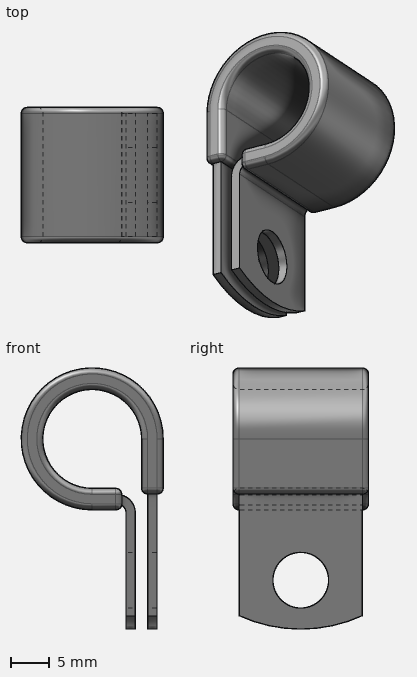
import cadquery as cq
import math


strap_thickness = 1.2192
strap_width = 15.875
tab_gap = 1.5875
bend_radius = 2.38125
tab_bottom = -24.51
tab_end_radius = 19.05

hole_diameter = 7.144
hole_height = -18.2

bore_radius = 6.35
cushion_wall = 0.79375
lower_leg_length = 3.81
upper_leg_length = 7.11

strap_inner_radius = bore_radius + cushion_wall
strap_outer_radius = strap_inner_radius + strap_thickness
cushion_outer_radius = strap_outer_radius + cushion_wall
cushion_width = strap_width + 2 * cushion_wall
inner_tab_right = strap_inner_radius - tab_gap
inner_tab_left = inner_tab_right - strap_thickness
bend_center = (inner_tab_right - bend_radius, -strap_inner_radius - bend_radius)
inside_bend_radius = bend_radius - strap_thickness
tab_corner = tab_bottom + tab_end_radius - math.sqrt(tab_end_radius**2 - (strap_width / 2) ** 2)


def on_circle(radius, angle, center=(0, 0)):
    """Point in the XZ plane at an angle in degrees, measured from +X towards +Z."""
    turn = math.radians(angle)
    return (center[0] + radius * math.cos(turn), center[1] + radius * math.sin(turn))


def extrude_about_y(profile, width):
    """Extrude an XZ profile symmetrically about Y = 0."""
    return profile.extrude(width / 2, both=True)


def make_cushion():
    """Three-quarter ring with two straight legs, every edge rounded."""
    profile = (
        cq.Workplane("XZ")
        .moveTo(bore_radius, -upper_leg_length)
        .lineTo(bore_radius, 0)
        .threePointArc(on_circle(bore_radius, 135), (0, -bore_radius))
        .lineTo(lower_leg_length, -bore_radius)
        .lineTo(lower_leg_length, -cushion_outer_radius)
        .lineTo(0, -cushion_outer_radius)
        .threePointArc(on_circle(cushion_outer_radius, 135), (cushion_outer_radius, 0))
        .lineTo(cushion_outer_radius, -upper_leg_length)
        .close()
    )
    body = extrude_about_y(profile, cushion_width)
    wall_middle = (bore_radius + cushion_outer_radius) / 2
    lower_end = cq.selectors.NearestToPointSelector((lower_leg_length, 0, -wall_middle))
    upper_end = cq.selectors.NearestToPointSelector((wall_middle, 0, -upper_leg_length))
    rounded_edges = (
        body.faces("<Y or >Y").edges()
        .add(body.faces(lower_end).edges("|Y"))
        .add(body.faces(upper_end).edges("|Y"))
    )
    return rounded_edges.fillet(cushion_wall)


def make_inner_tab():
    """Strap leaving the lower leg and bending down into the inner tab."""
    profile = (
        cq.Workplane("XZ")
        .moveTo(0, -strap_inner_radius)
        .lineTo(bend_center[0], -strap_inner_radius)
        .threePointArc(on_circle(bend_radius, 45, bend_center), (inner_tab_right, bend_center[1]))
        .lineTo(inner_tab_right, tab_bottom)
        .lineTo(inner_tab_left, tab_bottom)
        .lineTo(inner_tab_left, bend_center[1])
        .threePointArc(
            on_circle(inside_bend_radius, 45, bend_center),
            (bend_center[0], -strap_outer_radius),
        )
        .lineTo(0, -strap_outer_radius)
        .close()
    )
    return extrude_about_y(profile, strap_width)


def make_outer_tab():
    """Straight strap running down from the upper leg."""
    profile = (
        cq.Workplane("XZ")
        .moveTo(strap_inner_radius, 0)
        .lineTo(strap_outer_radius, 0)
        .lineTo(strap_outer_radius, tab_bottom)
        .lineTo(strap_inner_radius, tab_bottom)
        .close()
    )
    return extrude_about_y(profile, strap_width)


def make_tab_envelope():
    """Block along X whose lower end is rounded to the shape of the tab ends."""
    half_width = strap_width / 2
    return (
        cq.Workplane("YZ")
        .moveTo(-half_width, 0)
        .lineTo(-half_width, tab_corner)
        .threePointArc((0, tab_bottom), (half_width, tab_corner))
        .lineTo(half_width, 0)
        .close()
        .extrude(cushion_outer_radius)
    )


def make_mounting_hole():
    """Cylinder along X that pierces both tabs."""
    return (
        cq.Workplane("YZ")
        .center(0, hole_height)
        .circle(hole_diameter / 2)
        .extrude(cushion_outer_radius)
    )


tabs = make_inner_tab().union(make_outer_tab())
tabs = tabs.intersect(make_tab_envelope()).cut(make_mounting_hole())
result = make_cushion().union(tabs)